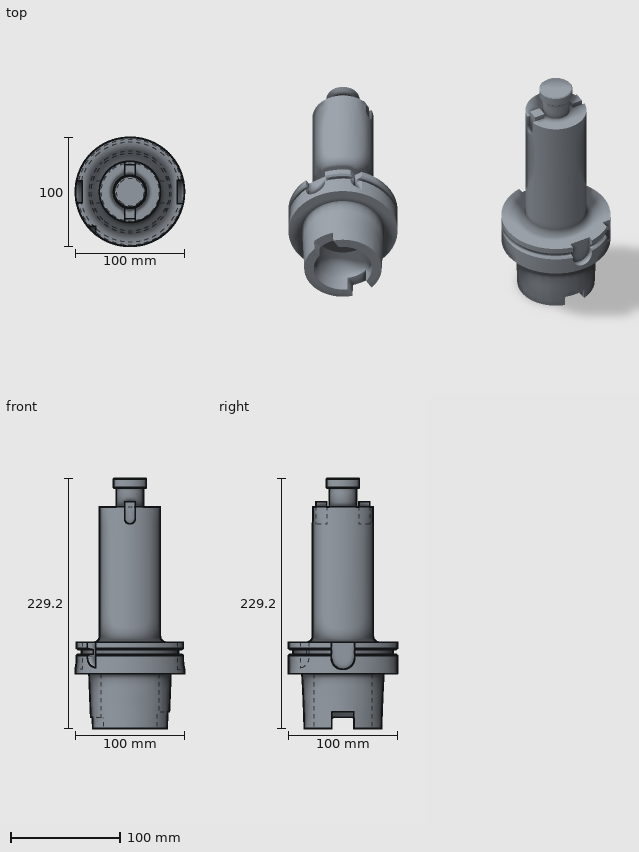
import cadquery as cq
import math


total_height = 229.2
taper_height = 50.0
flange_top = 79.0
arbor_top = 203.0
key_top = 207.7

taper_top_radius = 37.5
taper_bottom_radius = 35.5
bore_radius = 26.5
bore_depth = taper_height
drive_notch_width = 20.2
drive_notch_corner_radius = 1.0
low_notch_height = 10.0
high_notch_height = 15.4

flange_radius = 50.0
groove_floor_radius = 45.8
groove_bottom = 68.0
groove_top = 72.2
groove_lip_width = 1.5
groove_lip_height = 1.4

rim_slot_center_height = 64.9
narrow_slot_width = 20.2
narrow_slot_floor = 43.8
wide_slot_width = 21.5
wide_slot_floor = 43.3
corner_slot_edge = 31.5
corner_slot_floor = 31.5
corner_slot_radius = 9.5

arbor_radius = 28.0
arbor_fillet = 5.0

key_width = 9.6
key_bottom = 187.3
key_inner = 14.7
key_outer = 24.8
key_angles = (90, 270)

head_radius = 15.1
head_height = 9.5
head_chamfer = 1.0
neck_radius = 12.5


def rounded_slot(width, center_height, top_height, start_x, end_x, center_y=0.0):
    """Upright prism with a half-round bottom, running along X from start_x to end_x."""
    radius = width / 2
    return (
        cq.Workplane(cq.Plane(origin=(start_x, center_y, 0), xDir=(0, 1, 0), normal=(1, 0, 0)))
        .moveTo(-radius, top_height)
        .lineTo(-radius, center_height)
        .threePointArc((0, center_height - radius), (radius, center_height))
        .lineTo(radius, top_height)
        .close()
        .extrude(end_x - start_x)
    )


def key_shape(angle, outer, top_height):
    """Round-bottomed key or keyway reaching out to the given distance, turned from -X by the angle."""
    key_center_height = key_bottom + key_width / 2
    key = rounded_slot(key_width, key_center_height, top_height, -outer, -key_inner)
    return key.rotate((0, 0, 0), (0, 0, 1), angle)


def revolved_holder():
    """Taper, grooved flange and arbor turned as one profile."""
    fillet_middle = arbor_fillet * (1 - math.sqrt(0.5))
    lip_radius = flange_radius - groove_lip_width
    return (
        cq.Workplane("XZ")
        .moveTo(0, 0)
        .lineTo(taper_bottom_radius, 0)
        .lineTo(taper_top_radius, taper_height)
        .lineTo(flange_radius, taper_height)
        .lineTo(flange_radius, groove_bottom - groove_lip_height)
        .lineTo(lip_radius, groove_bottom)
        .lineTo(groove_floor_radius, groove_bottom)
        .lineTo(groove_floor_radius, groove_top)
        .lineTo(lip_radius, groove_top)
        .lineTo(flange_radius, groove_top + groove_lip_height)
        .lineTo(flange_radius, flange_top)
        .lineTo(arbor_radius + arbor_fillet, flange_top)
        .threePointArc(
            (arbor_radius + fillet_middle, flange_top + fillet_middle),
            (arbor_radius, flange_top + arbor_fillet),
        )
        .lineTo(arbor_radius, arbor_top)
        .lineTo(0, arbor_top)
        .close()
        .revolve(360, (0, 0, 0), (0, 1, 0))
    )


def drive_notch(side, height):
    """Notch through the taper wall at its lower end, on the -X (side -1) or +X (side 1) side."""
    return (
        cq.Workplane("XY")
        .box(taper_top_radius, drive_notch_width, height, centered=(True, True, False))
        .edges("|X and >Z")
        .fillet(drive_notch_corner_radius)
        .translate((side * taper_top_radius / 2, 0, 0))
    )


def rim_slots():
    """Narrow slot at -X, wide slot at +X and the offset slot in the -X -Y corner of the rim."""
    narrow = rounded_slot(
        narrow_slot_width, rim_slot_center_height, flange_top, -flange_radius, -narrow_slot_floor
    )
    wide = rounded_slot(
        wide_slot_width, rim_slot_center_height, flange_top, wide_slot_floor, flange_radius
    )
    corner = rounded_slot(
        2 * corner_slot_radius,
        rim_slot_center_height,
        flange_top,
        -flange_radius,
        -corner_slot_floor,
        -corner_slot_edge - corner_slot_radius,
    )
    return [narrow, wide, corner]


def make_holder():
    """Turned body with its bore, drive notches, rim slots and keyways."""
    holder = revolved_holder()
    holder = holder.cut(cq.Workplane("XY").circle(bore_radius).extrude(bore_depth))
    holder = holder.cut(drive_notch(-1, low_notch_height))
    holder = holder.cut(drive_notch(1, high_notch_height))
    for slot in rim_slots():
        holder = holder.cut(slot)
    for angle in key_angles:
        holder = holder.cut(key_shape(angle, arbor_radius, arbor_top))
    return holder


def make_key(angle):
    """Drive key standing proud of the arbor end, with its outer face inside the arbor surface."""
    return key_shape(angle, key_outer, key_top)


def make_screw():
    """Screw head and neck standing on the end of the arbor."""
    neck_height = total_height - head_height - arbor_top
    neck = cq.Workplane("XY").workplane(offset=arbor_top).circle(neck_radius).extrude(neck_height)
    head = (
        cq.Workplane("XY")
        .workplane(offset=total_height - head_height)
        .circle(head_radius)
        .extrude(head_height)
        .edges()
        .chamfer(head_chamfer)
    )
    return neck.union(head)


holder = make_holder().solids()
keys = [make_key(angle) for angle in key_angles]
screw = make_screw().solids()

result = cq.Compound.makeCompound([holder.val(), *[key.val() for key in keys], screw.val()])